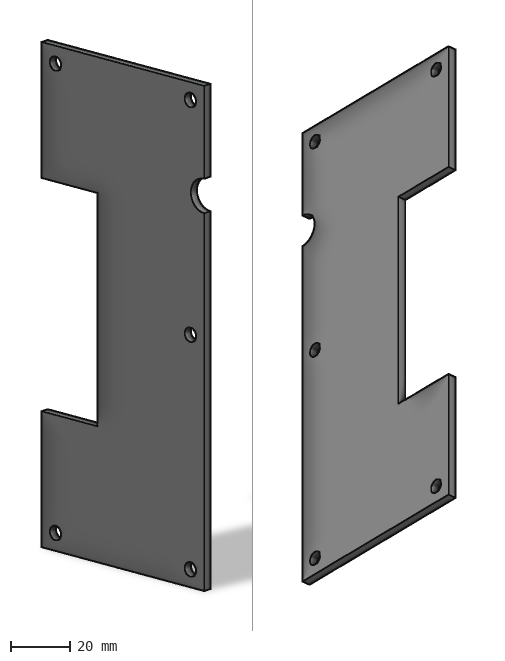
import cadquery as cq

plate_width = 74.05
plate_thickness = 3.17
plate_height = 178.88

cutout_depth = 25.4
cutout_height = 82.55

notch_diameter = 12.2
notch_below_top = 39.0

hole_diameter = 5.08
hole_inset = 6.35

half_width = plate_width / 2
half_height = plate_height / 2
notch_z = half_height - notch_below_top
hole_x = half_width - hole_inset
hole_z = half_height - hole_inset
hole_centers = [
    (-hole_x, hole_z),
    (hole_x, hole_z),
    (hole_x, 0),
    (-hole_x, -hole_z),
    (hole_x, -hole_z),
]


def make_plate():
    """Flat rectangular plate standing upright, centred on the origin."""
    return cq.Workplane("XY").box(plate_width, plate_thickness, plate_height)


def make_edge_cutout():
    """Block twice the cutout depth, centred on the left edge of the plate."""
    block = cq.Workplane("XY").box(2 * cutout_depth, plate_thickness, cutout_height)
    return block.translate((-half_width, 0, 0))


def make_through_cylinder(x, z, diameter):
    """Cylinder along Y that runs through the full plate thickness."""
    return (
        cq.Workplane("XZ")
        .center(x, z)
        .circle(diameter / 2)
        .extrude(plate_thickness / 2, both=True)
    )


result = make_plate().cut(make_edge_cutout())
result = result.cut(make_through_cylinder(half_width, notch_z, notch_diameter))
for x, z in hole_centers:
    result = result.cut(make_through_cylinder(x, z, hole_diameter))